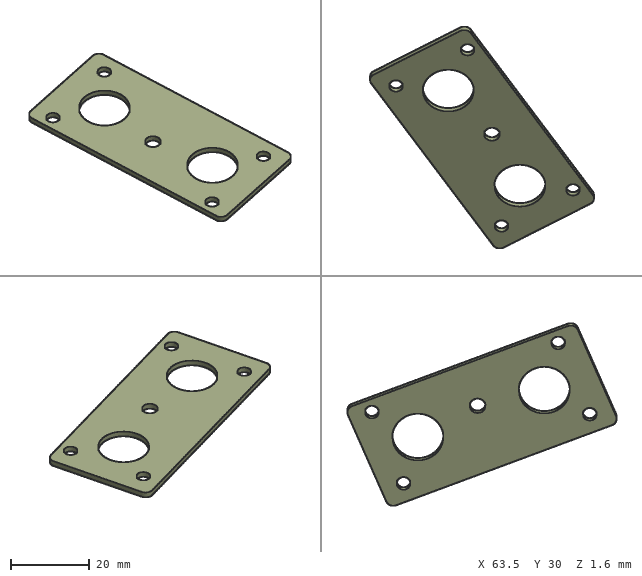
import cadquery as cq

length = 63.5
width = 30.0
thickness = 1.6
corner_radius = 2.0

mount_diameter = 3.5
mount_spacing_x = 51.45
mount_spacing_y = 21.5
mount_center_y = -0.75

opening_diameter = 13.0
opening_spacing = 34.9
opening_center_y = -0.65

middle_diameter = 4.0
middle_y = -3.0


def cut_holes(body, diameter, points):
    """Cut a through hole of the given diameter at each point."""
    return body.faces(">Z").workplane(origin=(0, 0, 0)).pushPoints(points).hole(diameter)


plate = cq.Workplane("XY").box(length, width, thickness).edges("|Z").fillet(corner_radius)

mount_points = [
    (side_x * mount_spacing_x / 2, mount_center_y + side_y * mount_spacing_y / 2)
    for side_x in (-1, 1)
    for side_y in (-1, 1)
]
opening_points = [(side_x * opening_spacing / 2, opening_center_y) for side_x in (-1, 1)]

plate = cut_holes(plate, mount_diameter, mount_points)
plate = cut_holes(plate, opening_diameter, opening_points)
plate = cut_holes(plate, middle_diameter, [(0, middle_y)])

result = plate